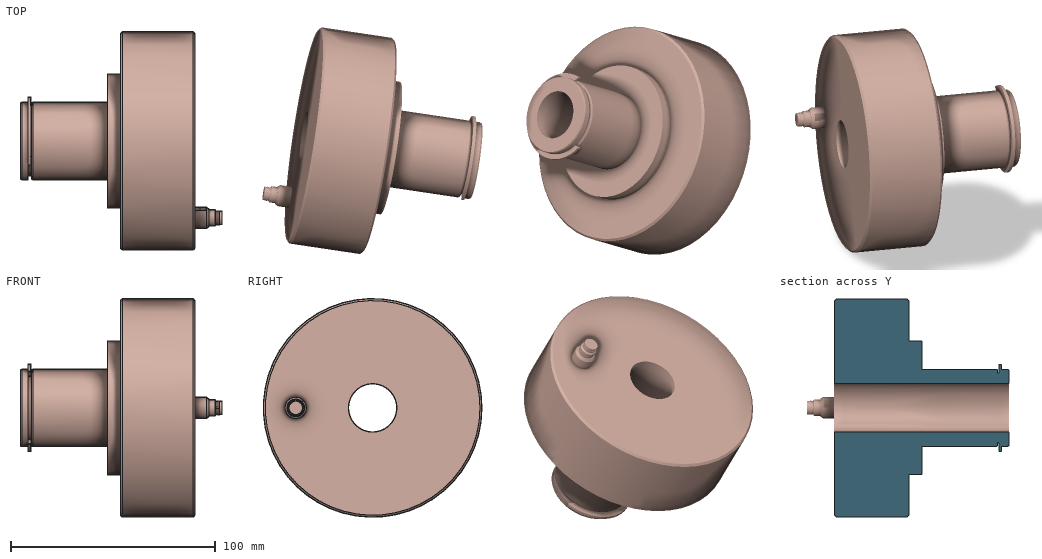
import cadquery as cq
import math

retaining_groove_start = 3.6
retaining_groove_end = 5.4
flange_start = 42.4
body_start = 48.7
body_end = 85.2
overall_length = 98.33

bore_diameter = 23.42
shaft_diameter = 37.9
groove_diameter = 34.29
flange_diameter = 65.4
body_diameter = 106.68
body_chamfer = 1.0
shaft_chamfer_length = 0.7
shaft_chamfer_angle = 30
shaft_chamfer_depth = shaft_chamfer_length * math.tan(math.radians(shaft_chamfer_angle))

ring_diameter = 42.8
ring_thickness = 1.5
ring_tip_y = -11.7
ring_tip_corner_z = 17.4
ring_tip_angle = 26

connector_y = -37.5
collar_diameter = 10.42
collar_cone_end_diameter = 8.61
neck_diameter = 7.97
plug_diameter = 6.6
rib_diameter = 6.9
collar_length = 5.5
cone_end = 6.75
neck_end = 9.75
neck_chamfer_end = 10.3
rib_start = 11.1
rib_end = 11.8
plug_length = overall_length - body_end
rail_width = 0.8
embed_depth = 1.0

notch_wall_y = 3.65
notch_step_x = 2.3
notch_end_x = 5.2
notch_inner_floor_z = 0.5
notch_outer_floor_z = 0.0


def revolve_profile(stations):
    """Revolve (x, diameter) stations around the X axis into a solid."""
    outline = [(x, diameter / 2) for x, diameter in stations]
    axis_points = [(stations[-1][0], 0), (stations[0][0], 0)]
    return cq.Workplane("XY").polyline(outline + axis_points).close().revolve(360, (0, 0), (1, 0))


def box_between(x_range, y_range, z_range):
    """Axis-aligned box given its limits on each axis."""
    sizes = [high - low for low, high in (x_range, y_range, z_range)]
    corner = (x_range[0], y_range[0], z_range[0])
    return cq.Workplane("XY").box(*sizes, centered=False).translate(corner)


def make_housing():
    """Grooved shaft, flange and large body, bored right through."""
    chamfered_shaft = shaft_diameter - 2 * shaft_chamfer_depth
    chamfered_body = body_diameter - 2 * body_chamfer
    housing = revolve_profile([
        (0, chamfered_shaft),
        (shaft_chamfer_length, shaft_diameter),
        (retaining_groove_start, shaft_diameter),
        (retaining_groove_start, groove_diameter),
        (retaining_groove_end, groove_diameter),
        (retaining_groove_end, chamfered_shaft),
        (retaining_groove_end + shaft_chamfer_length, shaft_diameter),
        (flange_start, shaft_diameter),
        (flange_start, flange_diameter),
        (body_start, flange_diameter),
        (body_start, chamfered_body),
        (body_start + body_chamfer, body_diameter),
        (body_end - body_chamfer, body_diameter),
        (body_end, chamfered_body),
    ])
    bore = cq.Workplane("YZ").circle(bore_diameter / 2).extrude(body_end)
    return housing.cut(bore)


def make_retaining_ring():
    """Snap ring seated in the groove, with sloping end faces and tips trimmed flat."""
    ring = (
        cq.Workplane("YZ", origin=(retaining_groove_start, 0, 0))
        .circle(ring_diameter / 2)
        .circle(groove_diameter / 2)
        .extrude(ring_thickness)
    )
    inner_z = ring_tip_corner_z + ring_tip_y * math.tan(math.radians(ring_tip_angle))
    gap = (
        cq.Workplane("YZ", origin=(retaining_groove_start, 0, 0))
        .polyline([
            (0, inner_z),
            (ring_tip_y, ring_tip_corner_z),
            (ring_tip_y, -ring_tip_corner_z),
            (0, -inner_z),
        ])
        .close()
        .extrude(ring_thickness)
    )
    ring_x = (retaining_groove_start, retaining_groove_start + ring_thickness)
    beyond_tips = box_between(ring_x, (-ring_diameter, ring_tip_y), (-ring_diameter, ring_diameter))
    return ring.cut(gap).cut(beyond_tips)


def make_connector():
    """Stepped plug along X with two side rails; x = 0 is the body face it is sunk into."""
    plug = revolve_profile([
        (-embed_depth, collar_diameter),
        (collar_length, collar_diameter),
        (cone_end, collar_cone_end_diameter),
        (cone_end, neck_diameter),
        (neck_end, neck_diameter),
        (neck_chamfer_end, plug_diameter),
        (rib_start, plug_diameter),
        (rib_start, rib_diameter),
        (rib_end, rib_diameter),
        (rib_end, plug_diameter),
        (plug_length, plug_diameter),
    ])
    rails = box_between(
        (neck_end, rib_end),
        (-rib_diameter / 2, rib_diameter / 2),
        (-rail_width / 2, rail_width / 2),
    )
    notch_y = (notch_wall_y, collar_diameter)
    inner_notch = box_between((0, notch_step_x), notch_y, (notch_inner_floor_z, collar_diameter))
    outer_notch = box_between((notch_step_x, notch_end_x), notch_y, (notch_outer_floor_z, collar_diameter))
    return plug.union(rails).cut(inner_notch).cut(outer_notch)


connector = make_connector().translate((body_end, connector_y, 0))
result = make_housing().union(make_retaining_ring()).union(connector)